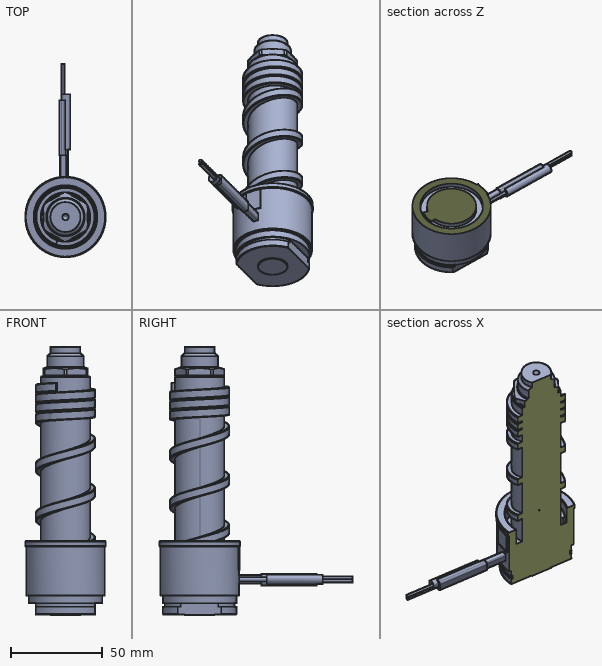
import cadquery as cq
import math

TOTAL_HEIGHT = 146.3
BODY_RADIUS = 27.0 / 2
BODY_TOP = 130.4
BODY_CHAMFER = 0.5
NECK_RADIUS = 12.0
HEX_ACROSS_FLATS = 24.1
HEX_BOTTOM = 130.8
HEX_SHOULDER = 134.2
HEX_CONE_RADIUS = 10.5
HEX_CONE_TOP = 135.2
COLLAR_RADIUS = 20.0 / 2
COLLAR_BOTTOM = 135.6
COLLAR_TOP = 141.3
PIN_RADIUS = 8.2
PIN_BOTTOM = 143.0
CENTRE_HOLE_RADIUS = 1.8
CENTRE_HOLE_DEPTH = 1.8

HOUSING_RADIUS = 21.5
HOUSING_BOTTOM = 10.5
HOUSING_CHAMFER = 0.5
RIM_RADIUS = 44.0 / 2
RIM_BOTTOM = 37.3
RIM_TOP = 40.5
RIM_CHAMFER = 0.5
BORE_RADIUS = 17.0
BORE_CHAMFER = 0.5
BORE_FLOOR = 29.5
STEP_RADIUS = 40.2 / 2
STEP_BOTTOM = 6.6
GROOVE_RADIUS = 19.2
GROOVE_BOTTOM = 4.5
BASE_BOTTOM = 0.5
BASE_CHAMFER = 0.3
BASE_FLAT_OFFSET = 16.2
PAD_REACH = 21.8
PAD_WIDTH = 8.8
PAD_BOTTOM = 24.9

SPRING_OUTER_RADIUS = 16.2
SPRING_INNER_RADIUS = 13.2
STRIP_HEIGHT = 4.8
STRIP_CHAMFER = 0.5
SPRING_END_ANGLE = 251
SPRING_END_HEIGHT = 124.5
CLOSE_PITCH = 5.3
OPEN_PITCH = 26.9
FULL_TURN = 360
CLOSE_TURNS_SWEEP = 3 * FULL_TURN
JOINT_SWEEP = CLOSE_TURNS_SWEEP + 13
CLOSE_SWEEP = CLOSE_TURNS_SWEEP + 35
BLEND_SWEEP = 70
POINT_STEP = 15

CABLE_HEIGHT = 19.6
CABLE_START = 18.3
WIRE_RADIUS = 0.9
TOTAL_LENGTH = 105.5
WIRE_END = TOTAL_LENGTH - RIM_RADIUS
WIRE_X = -1.3
ROUND_CABLE_X = 0.1
ROUND_CABLE_RADIUS = 1.25
ROUND_SLEEVE_RADIUS = 5.1 / 2
ROUND_SLEEVE_START = 36.7
ROUND_SLEEVE_END = 67.0
FLAT_SLEEVE_X = -1.6
FLAT_SLEEVE_DROP = 0.22
FLAT_SLEEVE_SIZE = (3.8, 6.3)
FLAT_SLEEVE_CORNER = 1.2
FLAT_SLEEVE_START = 33.6
FLAT_SLEEVE_END = 63.8
FLAT_CABLE_X = -1.3
FLAT_CABLE_SIZE = (3.4, 4.8)
FLAT_CABLE_CORNER = 0.6


def turned(profile):
    """Solid of revolution about Z from (radius, height) points."""
    return cq.Workplane("XZ").polyline(profile).close().revolve(360, (0, 0, 0), (0, 1, 0))


def make_rod():
    """Pin, collar, body and the short foot that shows below the housing."""
    rod = turned([
        (0, 0),
        (PIN_RADIUS - BASE_CHAMFER, 0),
        (PIN_RADIUS, BASE_CHAMFER),
        (PIN_RADIUS, BASE_BOTTOM),
        (BODY_RADIUS, BASE_BOTTOM),
        (BODY_RADIUS, BODY_TOP - BODY_CHAMFER),
        (BODY_RADIUS - BODY_CHAMFER, BODY_TOP),
        (NECK_RADIUS, BODY_TOP),
        (NECK_RADIUS, HEX_BOTTOM),
        (COLLAR_RADIUS, HEX_BOTTOM),
        (COLLAR_RADIUS, COLLAR_TOP),
        (PIN_RADIUS, PIN_BOTTOM),
        (PIN_RADIUS, TOTAL_HEIGHT),
        (CENTRE_HOLE_RADIUS, TOTAL_HEIGHT),
        (0, TOTAL_HEIGHT - CENTRE_HOLE_DEPTH),
    ])
    return rod.union(make_hex())


def make_hex():
    """Hexagon with flats facing +X and -X, its corners turned down and its top coned."""
    envelope = turned([
        (0, HEX_BOTTOM),
        (BODY_RADIUS, HEX_BOTTOM),
        (BODY_RADIUS, HEX_SHOULDER),
        (HEX_CONE_RADIUS, HEX_CONE_TOP),
        (COLLAR_RADIUS, COLLAR_BOTTOM),
        (0, COLLAR_BOTTOM),
    ])
    corner_diameter = HEX_ACROSS_FLATS / math.cos(math.radians(30))
    prism = (
        cq.Workplane("XY", origin=(0, 0, HEX_BOTTOM))
        .transformed(rotate=(0, 0, 30))
        .polygon(6, corner_diameter)
        .extrude(COLLAR_BOTTOM - HEX_BOTTOM)
    )
    return envelope.intersect(prism)


def make_housing():
    """Cup with an open bore, a stepped base with two flats and a pad above the cable."""
    housing = turned([
        (0, BASE_BOTTOM),
        (STEP_RADIUS - BASE_CHAMFER, BASE_BOTTOM),
        (STEP_RADIUS, BASE_BOTTOM + BASE_CHAMFER),
        (STEP_RADIUS, GROOVE_BOTTOM),
        (GROOVE_RADIUS, GROOVE_BOTTOM),
        (GROOVE_RADIUS, STEP_BOTTOM),
        (STEP_RADIUS, STEP_BOTTOM),
        (STEP_RADIUS, HOUSING_BOTTOM),
        (HOUSING_RADIUS - HOUSING_CHAMFER, HOUSING_BOTTOM),
        (HOUSING_RADIUS, HOUSING_BOTTOM + HOUSING_CHAMFER),
        (HOUSING_RADIUS, RIM_BOTTOM),
        (RIM_RADIUS, RIM_BOTTOM + RIM_RADIUS - HOUSING_RADIUS),
        (RIM_RADIUS, RIM_TOP - RIM_CHAMFER),
        (RIM_RADIUS - RIM_CHAMFER, RIM_TOP),
        (BORE_RADIUS + BORE_CHAMFER, RIM_TOP),
        (BORE_RADIUS, RIM_TOP - BORE_CHAMFER),
        (BORE_RADIUS, BORE_FLOOR),
        (0, BORE_FLOOR),
    ])
    flat_depth = STEP_RADIUS - BASE_FLAT_OFFSET
    for side in (-1, 1):
        cutter_x = side * (BASE_FLAT_OFFSET + flat_depth / 2)
        cutter = cq.Workplane("XY", origin=(cutter_x, 0, STEP_BOTTOM / 2))
        housing = housing.cut(cutter.box(flat_depth, 2 * STEP_RADIUS, STEP_BOTTOM))
    pad_depth = PAD_REACH - BORE_RADIUS - BORE_CHAMFER
    pad = cq.Workplane("XY").box(PAD_WIDTH, pad_depth, RIM_BOTTOM - PAD_BOTTOM, centered=(True, False, False))
    return housing.union(pad.translate((0, PAD_REACH - pad_depth, PAD_BOTTOM)))


def spring_drop(sweep):
    """Drop of the wire below its top end after the given sweep in degrees."""
    drop = CLOSE_PITCH * sweep / FULL_TURN
    pitch_gain = OPEN_PITCH - CLOSE_PITCH
    past = sweep - CLOSE_SWEEP
    if past > BLEND_SWEEP:
        drop += pitch_gain * (past - BLEND_SWEEP / 2) / FULL_TURN
    elif past > 0:
        drop += pitch_gain * past ** 2 / (2 * BLEND_SWEEP) / FULL_TURN
    return drop


def spring_point(radius, offset, sweep):
    """Point of the wire at a radius and a height offset from its centre line."""
    angle = math.radians(SPRING_END_ANGLE - sweep)
    height = SPRING_END_HEIGHT - spring_drop(sweep) + offset
    return cq.Vector(radius * math.cos(angle), radius * math.sin(angle), height)


def make_spring_section(start, end):
    """Wire between two sweeps: ruled faces between one helical edge per profile corner."""
    half = STRIP_HEIGHT / 2
    corners = [
        (SPRING_INNER_RADIUS, -half),
        (SPRING_OUTER_RADIUS - STRIP_CHAMFER, -half),
        (SPRING_OUTER_RADIUS, STRIP_CHAMFER - half),
        (SPRING_OUTER_RADIUS, half - STRIP_CHAMFER),
        (SPRING_OUTER_RADIUS - STRIP_CHAMFER, half),
        (SPRING_INNER_RADIUS, half),
    ]
    steps = math.ceil((end - start) / POINT_STEP)
    sweeps = [start + (end - start) * i / steps for i in range(steps + 1)]
    edges = [
        cq.Edge.makeSpline([spring_point(radius, offset, sweep) for sweep in sweeps])
        for radius, offset in corners
    ]
    faces = [
        cq.Face.makeRuledSurface(edges[i - 1], edges[i])
        for i in range(len(edges))
    ]
    for sweep in (start, end):
        outline = cq.Wire.makePolygon([spring_point(r, z, sweep) for r, z in corners], close=True)
        faces.append(cq.Face.makeFromWires(outline))
    return cq.Workplane(cq.Solid.makeSolid(cq.Shell.makeShell(faces)).fix())


def make_spring_sections():
    """Upper and lower lengths of the spring; the lower one ends on the bore floor."""
    bottom_drop = SPRING_END_HEIGHT - BORE_FLOOR - STRIP_HEIGHT / 2
    blend_end = CLOSE_SWEEP + BLEND_SWEEP
    open_sweep = FULL_TURN * (bottom_drop - spring_drop(blend_end)) / OPEN_PITCH
    return [
        make_spring_section(0, JOINT_SWEEP),
        make_spring_section(JOINT_SWEEP, blend_end + open_sweep),
    ]


def round_rod(x, z, radius, start, end):
    """Cylinder along Y."""
    return cq.Workplane("XZ", origin=(x, start, z)).circle(radius).extrude(start - end)


def flat_rod(x, z, size, corner, start, end):
    """Bar along Y with rounded long edges; size is its (width, height)."""
    bar = cq.Workplane("XZ", origin=(x, start, z)).rect(*size).extrude(start - end)
    return bar.edges("|Y").fillet(corner)


def make_cables():
    """A flat and a round cable with sleeves, and two thin wires one above the other."""
    flat_cable = flat_rod(
        FLAT_CABLE_X, CABLE_HEIGHT, FLAT_CABLE_SIZE, FLAT_CABLE_CORNER, CABLE_START, FLAT_SLEEVE_START
    )
    flat_sleeve = flat_rod(
        FLAT_SLEEVE_X,
        CABLE_HEIGHT - FLAT_SLEEVE_DROP,
        FLAT_SLEEVE_SIZE,
        FLAT_SLEEVE_CORNER,
        FLAT_SLEEVE_START,
        FLAT_SLEEVE_END,
    )
    round_cable = round_rod(ROUND_CABLE_X, CABLE_HEIGHT, ROUND_CABLE_RADIUS, CABLE_START, ROUND_SLEEVE_START)
    round_sleeve = round_rod(
        ROUND_CABLE_X, CABLE_HEIGHT, ROUND_SLEEVE_RADIUS, ROUND_SLEEVE_START, ROUND_SLEEVE_END
    )
    cables = flat_cable.union(flat_sleeve).union(round_cable).union(round_sleeve)
    for side in (-1, 1):
        wire_height = CABLE_HEIGHT + side * WIRE_RADIUS
        cables = cables.union(round_rod(WIRE_X, wire_height, WIRE_RADIUS, ROUND_SLEEVE_START, WIRE_END))
    return cables


result = make_rod().union(make_housing()).union(make_cables())
for section in make_spring_sections():
    result = result.union(section)